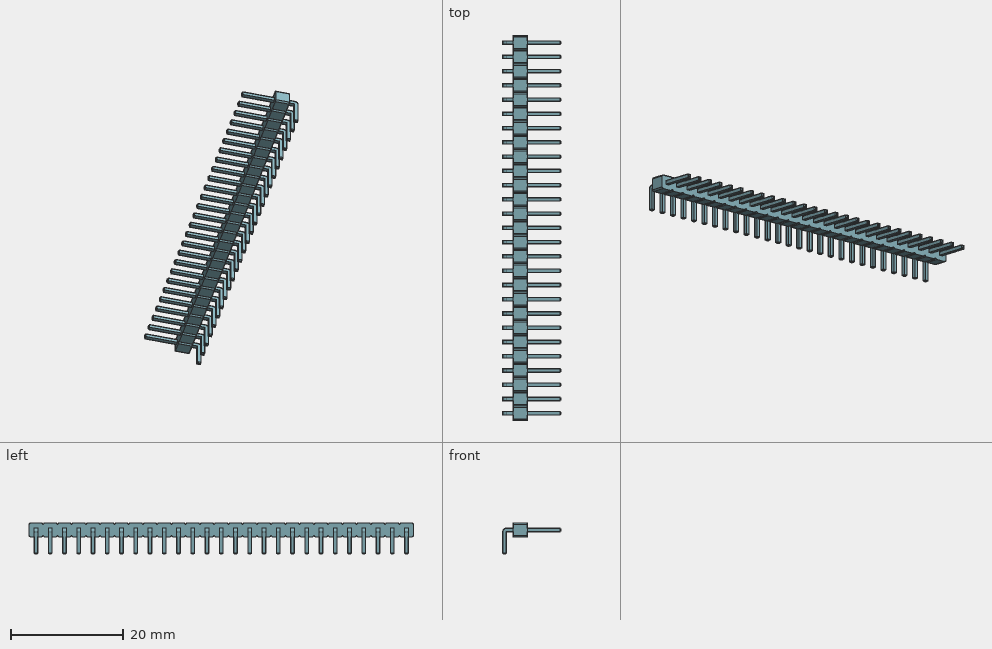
import cadquery as cq


pin_count = 27
row_length = 68.6
pitch = row_length / pin_count

body_width = 2.55
body_height = 2.55
notch_depth = 0.255

pin_size = 0.65
pin_reach = 10.35
overall_height = 5.55
bend_to_body = 1.85
bend_radius = pin_size
tip_chamfer = 0.17

pin_left = -bend_to_body
pin_right = pin_left + pin_reach
pin_top = pin_size / 2
pin_bottom = body_height / 2 - overall_height

pin_positions = [(index - (pin_count - 1) / 2) * pitch for index in range(pin_count)]


def strip():
    """Bar along Y with 45 degree chamfers at both sides of every pitch, top and bottom."""
    half_flat = pitch / 2 - notch_depth
    half_height = body_height / 2
    shoulder = half_height - notch_depth
    top_edge = []
    for y_center in pin_positions:
        top_edge += [
            (y_center - pitch / 2, shoulder),
            (y_center - half_flat, half_height),
            (y_center + half_flat, half_height),
        ]
    top_edge.append((row_length / 2, shoulder))
    bottom_edge = [(y, -z) for y, z in reversed(top_edge)]
    return cq.Workplane("YZ").polyline(top_edge + bottom_edge).close().extrude(body_width)


def bent_pin():
    """Square pin at Y = 0 with a horizontal leg, a rounded bend and a leg pointing down."""
    inner_left = pin_left + pin_size
    inner_top = pin_top - pin_size
    pin = (
        cq.Workplane("XZ")
        .moveTo(pin_left, pin_bottom)
        .lineTo(pin_left, pin_top)
        .lineTo(pin_right, pin_top)
        .lineTo(pin_right, inner_top)
        .lineTo(inner_left, inner_top)
        .lineTo(inner_left, pin_bottom)
        .close()
        .extrude(pin_size / 2, both=True)
    )
    outer_corner = cq.NearestToPointSelector((pin_left, 0, pin_top))
    pin = pin.edges("|Y").edges(outer_corner).fillet(bend_radius)
    return pin.faces(">X or <Z").edges().chamfer(tip_chamfer)


pins = cq.Workplane("XY").pushPoints([(0, y) for y in pin_positions])
pins = pins.eachpoint(bent_pin().val(), combine=False)
result = strip().union(pins)